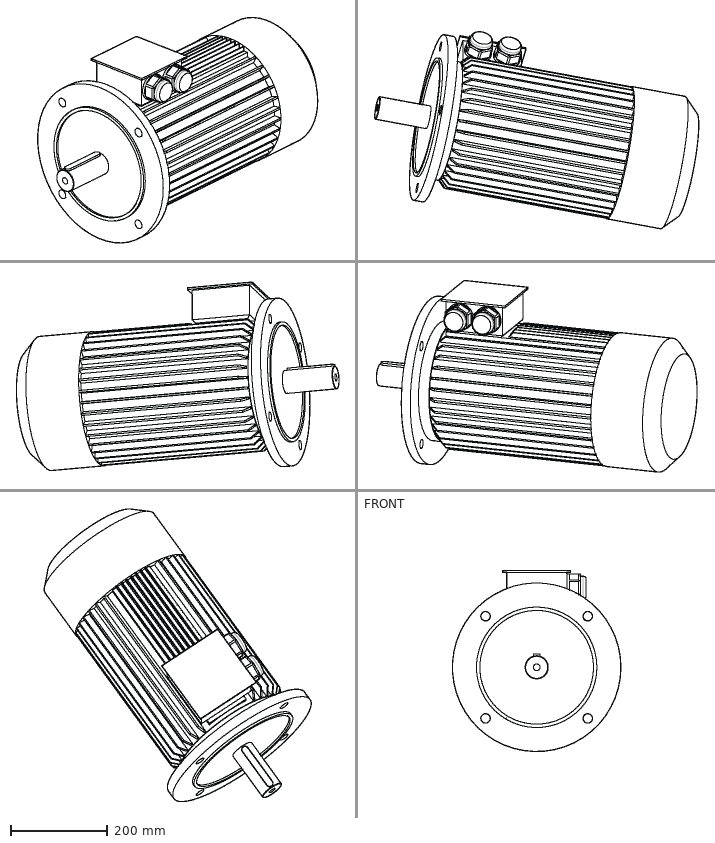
import cadquery as cq
import math


flange_diameter = 350.0
flange_thickness = 20.0
spigot_diameter = 250.0
spigot_depth = 5.0
recess_diameter = 236.0
recess_depth = 4.0
shield_end = 43.0
bolt_circle_diameter = 300.0
bolt_hole_diameter = 19.0
bolt_hole_count = 4
first_bolt_angle = 45.0

shaft_diameter = 48.0
shaft_end = -110.0
shaft_chamfer = 1.0
center_hole_diameter = 13.84
center_hole_depth = 36.0
drill_point_angle = 118.0
key_width = 14.0
key_height = 9.0
key_top = 27.5
key_front = -108.0
key_length = 104.0

core_diameter = 245.0
fin_tip_radius = 139.0
fin_thickness = 4.0
fin_pitch_angle = 10.0
fin_start = 46.0
fin_chamfer = 14.0
last_side_fin_angle = 60.0
cowl_start = 405.5

pad_width = 93.0
pad_top = 123.5
pad_start = 52.0
pad_fin_count = 7
pad_fin_pitch = 12.0
pad_fin_thickness = 2.0
pad_fin_start = 187.0
pad_fin_chamfer = 10.0

cowl_diameter = 280.0
cowl_end = 550.0
cowl_chamfer = 30.0

box_center_y = 120.5
box_size = 125.0
box_bottom = 127.0
box_chamfer = 6.0
neck_size = 93.0
lid_size = 141.0
lid_thickness = 4.0
lid_top = 201.0

gland_spacing = 61.5
gland_center_z = 165.5
gland_collar_length = 5.5
gland_body_diameter = 56.5
gland_hex_flats = 51.0
gland_hex_half_side_angle = 30.0
gland_hex_length = 18.5
gland_rim_length = 4.0
gland_rim_taper = 20.0
gland_cap_diameter = 47.09
gland_cap_length = 12.0
gland_cap_round_length = 6.0
gland_cap_round_radius = 7.0


def cylinder_y(diameter, y_from, y_to):
    """Cylinder on the motor axis between two Y positions."""
    start = cq.Workplane("XZ", origin=(0, y_from, 0))
    return start.circle(diameter / 2).extrude(y_from - y_to)


def box_z(size_x, size_y, center_y, z_from, z_to):
    """Upright block centred on X = 0."""
    base = cq.Workplane("XY", origin=(0, center_y, z_from))
    return base.rect(size_x, size_y).extrude(z_to - z_from)


def make_flange():
    flange = cylinder_y(flange_diameter, 0, flange_thickness)
    bolt_holes = (
        cq.Workplane("XZ")
        .polarArray(bolt_circle_diameter / 2, first_bolt_angle, 360, bolt_hole_count)
        .circle(bolt_hole_diameter / 2)
        .extrude(-flange_thickness)
    )
    spigot = cylinder_y(spigot_diameter, -spigot_depth, 0)
    shield = cylinder_y(spigot_diameter, flange_thickness, shield_end)
    recess = cylinder_y(recess_diameter, -spigot_depth, recess_depth - spigot_depth)
    return flange.cut(bolt_holes).union(spigot).union(shield).cut(recess)


def make_shaft():
    shaft = cylinder_y(shaft_diameter, shaft_end, 0).faces("<Y").chamfer(shaft_chamfer)
    key = (
        cq.Workplane("XY", origin=(0, key_front + key_length / 2, key_top - key_height))
        .slot2D(key_length, key_width, 90)
        .extrude(key_height)
    )
    hole_radius = center_hole_diameter / 2
    bottom_y = shaft_end + center_hole_depth
    point_length = hole_radius / math.tan(math.radians(drill_point_angle / 2))
    center_hole = (
        cq.Workplane("XY")
        .moveTo(0, shaft_end)
        .lineTo(hole_radius, shaft_end)
        .lineTo(hole_radius, bottom_y)
        .lineTo(0, bottom_y + point_length)
        .close()
        .revolve(360, (0, 0, 0), (0, 1, 0))
    )
    return shaft.union(key).cut(center_hole)


def make_side_fins():
    """Radial fins all round the frame except where the top pad is."""
    fin = (
        cq.Workplane("XY", origin=(0, 0, -fin_thickness / 2))
        .moveTo(0, fin_start)
        .lineTo(fin_tip_radius - fin_chamfer, fin_start)
        .lineTo(fin_tip_radius, fin_start + fin_chamfer)
        .lineTo(fin_tip_radius, cowl_start)
        .lineTo(0, cowl_start)
        .close()
        .extrude(fin_thickness)
    )
    fins = cylinder_y(core_diameter, shield_end, cowl_start)
    covered_angle = 180 + 2 * last_side_fin_angle
    fin_count = round(covered_angle / fin_pitch_angle) + 1
    for index in range(fin_count):
        angle = index * fin_pitch_angle - last_side_fin_angle
        fins = fins.union(fin.rotate((0, 0, 0), (0, 1, 0), angle))
    return fins


def make_pad():
    """Flat pad with parallel, flat-topped fins that keep within the round outline of the frame."""
    pad_length = cowl_start - pad_start
    pad = box_z(pad_width, pad_length, pad_start + pad_length / 2, 0, pad_top)
    for index in range(pad_fin_count):
        x = (index - (pad_fin_count - 1) / 2) * pad_fin_pitch
        outer_edge = abs(x) + pad_fin_thickness / 2
        tip_z = math.sqrt(fin_tip_radius**2 - outer_edge**2)
        fin = (
            cq.Workplane("YZ", origin=(x - pad_fin_thickness / 2, 0, 0))
            .moveTo(pad_fin_start, 0)
            .lineTo(pad_fin_start, tip_z - pad_fin_chamfer)
            .lineTo(pad_fin_start + pad_fin_chamfer, tip_z)
            .lineTo(cowl_start, tip_z)
            .lineTo(cowl_start, 0)
            .close()
            .extrude(pad_fin_thickness)
        )
        pad = pad.union(fin)
    return pad


def make_cowl():
    return cylinder_y(cowl_diameter, cowl_start, cowl_end).faces(">Y").chamfer(cowl_chamfer)


def make_terminal_box():
    lid_bottom = lid_top - lid_thickness
    body = box_z(box_size, box_size, box_center_y, box_bottom, lid_bottom)
    body = body.faces("<Z").chamfer(box_chamfer)
    neck = box_z(neck_size, neck_size, box_center_y, 0, box_bottom)
    lid = box_z(lid_size, lid_size, box_center_y, lid_bottom, lid_top)
    return body.union(neck).union(lid)


def make_gland_cap():
    """Round cap along +X from the origin; its rounding meets the end face at a clear edge."""
    radius = gland_cap_diameter / 2
    round_start = gland_cap_length - gland_cap_round_length
    half_sweep = math.asin(gland_cap_round_length / gland_cap_round_radius) / 2

    def round_point(angle):
        x = round_start + gland_cap_round_radius * math.sin(angle)
        drop = gland_cap_round_radius * (1 - math.cos(angle))
        return x, radius - drop

    return (
        cq.Workplane("XY")
        .lineTo(0, radius)
        .lineTo(round_start, radius)
        .threePointArc(round_point(half_sweep), round_point(2 * half_sweep))
        .lineTo(gland_cap_length, 0)
        .close()
        .revolve(360, (0, 0, 0), (1, 0, 0))
    )


def make_gland(center_y):
    hex_start = box_size / 2 + gland_collar_length
    rim_start = hex_start + gland_hex_length
    cap_start = rim_start + gland_rim_length

    def ring(x_from, length):
        start = cq.Workplane("YZ", origin=(x_from, center_y, gland_center_z))
        return start.circle(gland_body_diameter / 2).extrude(length)

    def hexagon(x_from, length, taper):
        """Hexagon with corners at top and bottom, rounded off to the gland body diameter."""
        return (
            cq.Workplane("YZ", origin=(x_from, center_y, gland_center_z))
            .transformed(rotate=(0, 0, gland_hex_half_side_angle))
            .polygon(6, gland_hex_flats / math.cos(math.radians(gland_hex_half_side_angle)))
            .extrude(length, taper=taper)
            .intersect(ring(x_from, length))
        )

    collar = ring(box_size / 2, gland_collar_length)
    grip = hexagon(hex_start, gland_hex_length, 0)
    rim = hexagon(rim_start, gland_rim_length, gland_rim_taper)
    cap = make_gland_cap().translate((cap_start, center_y, gland_center_z))
    return collar.union(grip).union(rim).union(cap)


result = make_side_fins().union(make_pad()).union(make_cowl())
result = result.union(make_flange()).union(make_shaft()).union(make_terminal_box())
for side in (-1, 1):
    result = result.union(make_gland(box_center_y + side * gland_spacing / 2))